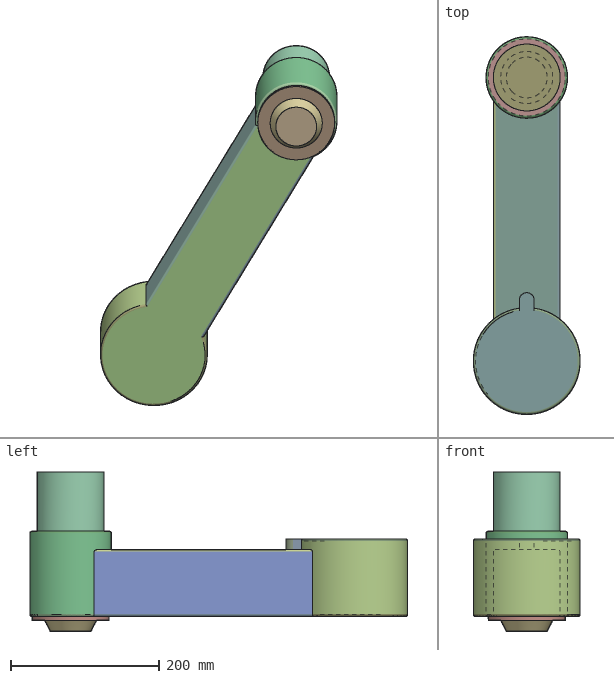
import cadquery as cq

overall_length = 509.0
edge_radius = 3.0

drum_diameter = 144.0
drum_height = 105.0

hub_diameter = 110.0
hub_height = 115.0

post_diameter = 90.0
post_height = 80.0

arm_width = post_diameter
arm_height = 90.0

tab_width = 20.0
tab_reach = 92.0

foot_disc_thickness = 5.0
foot_cone_height = 15.0
foot_cone_top_diameter = 70.0
foot_cone_tip_diameter = 55.0

axis_spacing = overall_length - (drum_diameter + hub_diameter) / 2
drum_y = -axis_spacing
foot_disc_diameter = hub_diameter - 2 * edge_radius


def rounded_cylinder(y, diameter, height):
    """Upright cylinder standing on Z = 0 with both rims rounded."""
    cylinder = cq.Workplane("XY").center(0, y).circle(diameter / 2).extrude(height)
    return cylinder.edges("%CIRCLE").fillet(edge_radius)


def arm():
    """Bar joining the two axes, with its four long edges rounded."""
    bar = cq.Workplane("XY").box(arm_width, axis_spacing, arm_height, centered=(True, True, False))
    return bar.edges("|Y").fillet(edge_radius).translate((0, drum_y / 2, 0))


def pointer_tab():
    """Round-ended tab on the drum, pointing along the arm and flush with the drum top."""
    tip_radius = tab_width / 2
    tip_center_y = drum_y + tab_reach - tip_radius
    return (
        cq.Workplane("XY", origin=(0, 0, edge_radius))
        .moveTo(-tip_radius, drum_y)
        .lineTo(-tip_radius, tip_center_y)
        .threePointArc((0, tip_center_y + tip_radius), (tip_radius, tip_center_y))
        .lineTo(tip_radius, drum_y)
        .close()
        .extrude(drum_height - edge_radius)
    )


def post():
    """Plain cylinder on top of the hub."""
    return cq.Workplane("XY", origin=(0, 0, hub_height)).circle(post_diameter / 2).extrude(post_height)


def foot():
    """Thin disc under the hub, followed by a tapered boss."""
    cone_bottom_z = -(foot_disc_thickness + foot_cone_height)
    return (
        cq.Workplane("XZ")
        .moveTo(0, 0)
        .lineTo(foot_disc_diameter / 2, 0)
        .lineTo(foot_disc_diameter / 2, -foot_disc_thickness)
        .lineTo(foot_cone_top_diameter / 2, -foot_disc_thickness)
        .lineTo(foot_cone_tip_diameter / 2, cone_bottom_z)
        .lineTo(0, cone_bottom_z)
        .close()
        .revolve(360, (0, 0, 0), (0, 1, 0))
    )


drum = rounded_cylinder(drum_y, drum_diameter, drum_height)
hub = rounded_cylinder(0, hub_diameter, hub_height)

result = arm().union(drum).union(hub).union(pointer_tab()).union(post()).union(foot())